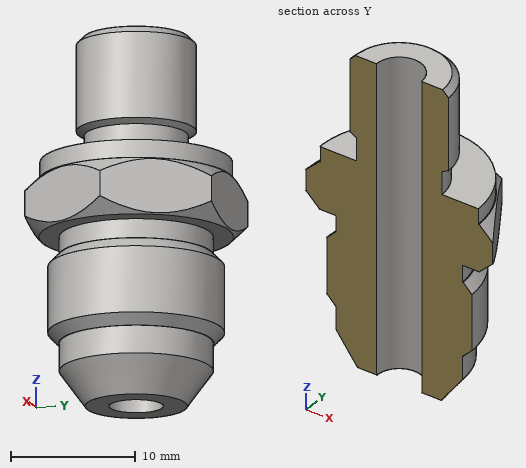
import cadquery as cq
import math

total_height = 30.48
nose_top = 2.9
collar_bottom = 5.18
collar_top = 12.45
hex_bottom = 14.02
hex_top = 18.7
flange_top = 20.2
thread_bottom = 22.4

bore_radius = 2.2
nose_tip_radius = 4.1
body_radius = 6.22
collar_radius = 7.13
collar_chamfer_radius = 6.28
collar_chamfer_height = 0.88
flange_radius = 7.77
relief_radius = 4.2
thread_radius = 4.85
thread_tip_radius = 4.27
thread_tip_height = 0.58
thread_runout_height = 0.37

across_flats = 15.88
hex_corner_radius = across_flats / math.sqrt(3)
hex_face_radius = 7.83
hex_chamfer_height = 1.3


def revolve_profile(points):
    """Revolve a closed outline of (radius, height) points about the Z axis."""
    return cq.Workplane("XZ").polyline(points).close().revolve(360, (0, 0, 0), (0, 1, 0))


def make_turned_body():
    return revolve_profile([
        (0, 0),
        (nose_tip_radius, 0),
        (body_radius, nose_top),
        (body_radius, collar_bottom),
        (collar_chamfer_radius, collar_bottom),
        (collar_radius, collar_bottom + collar_chamfer_height),
        (collar_radius, collar_top - collar_chamfer_height),
        (collar_chamfer_radius, collar_top),
        (body_radius, collar_top),
        (body_radius, hex_top),
        (flange_radius, hex_top),
        (flange_radius, flange_top),
        (relief_radius, flange_top),
        (relief_radius, thread_bottom),
        (thread_radius, thread_bottom + thread_runout_height),
        (thread_radius, total_height - thread_tip_height),
        (thread_tip_radius, total_height),
        (0, total_height),
    ])


def make_hexagon():
    """Hexagon with corners on the X axis, its corners turned off conically at both ends."""
    prism = (
        cq.Workplane("XY")
        .workplane(offset=hex_bottom)
        .polygon(6, 2 * hex_corner_radius)
        .extrude(hex_top - hex_bottom)
    )
    corner_cones = revolve_profile([
        (0, hex_bottom),
        (hex_face_radius, hex_bottom),
        (hex_corner_radius, hex_bottom + hex_chamfer_height),
        (hex_corner_radius, hex_top - hex_chamfer_height),
        (hex_face_radius, hex_top),
        (0, hex_top),
    ])
    return prism.intersect(corner_cones)


bore = cq.Workplane("XY").circle(bore_radius).extrude(total_height)

result = make_turned_body().union(make_hexagon()).cut(bore)